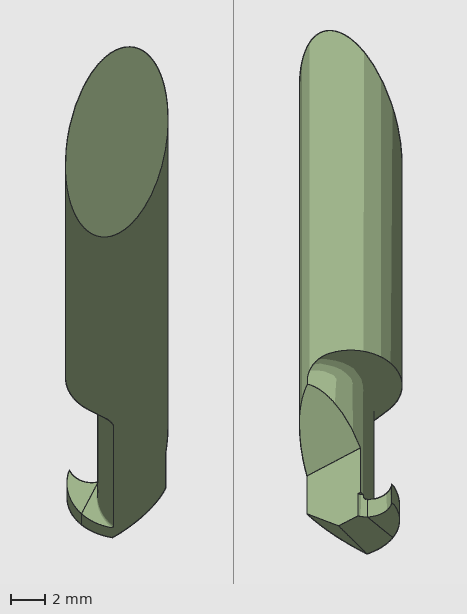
import cadquery as cq
import math


shank_radius = 3.0
total_length = 37.44
top_bevel_angle = 60.0
side_chamfer = 2.36

neck_offset = 2.05
shoulder_height = 11.2
shoulder_fillet = 1.0
toe_fillet = 0.17

back_y = 0.3
back_height = 5.4
back_slope_angle = 60.0

edge_width = 1.5
end_clearance_angle = 5.0
side_relief_angle = 0.8
land_width = 0.26
flank_mid_y = -2.6

groove_radius = 1.42
groove_centre_x = -1.99
groove_top = 1.8

neck_left_x = neck_offset - shank_radius
tip_joint_x = neck_left_x - toe_fillet
neck_edge_x = neck_offset / 2
neck_edge_y = -math.sqrt(shank_radius**2 - neck_edge_x**2)
land_end = (-math.sqrt(shank_radius**2 - land_width**2), -land_width)
bevel_slope = math.tan(math.radians(top_bevel_angle))
back_slope = math.tan(math.radians(back_slope_angle))
reach = 4 * shank_radius


def side_prism(points):
    """Prism along X from a (y, z) outline, wider than the bar."""
    return cq.Workplane("YZ").polyline(points).close().extrude(reach, both=True)


def block_above(corner_height, closing):
    """Block above a plane through the cutting corner; closing is +1 where the plane rises into the toe."""
    block = cq.Workplane("XY").box(2 * reach, 2 * reach, 2 * total_length, centered=(True, True, False))
    block = block.rotate((0, 0, 0), (1, 0, 0), -closing * end_clearance_angle)
    block = block.rotate((0, 0, 0), (0, 1, 0), -closing * side_relief_angle)
    return block.translate((-shank_radius, 0, corner_height))


def bar_blank():
    """Cylinder with a bevelled top, a relieved bottom face and a side chamfer."""
    low_side = total_length - 2 * shank_radius * bevel_slope
    bevelled_outline = [
        (-shank_radius, -shank_radius),
        (shank_radius, -shank_radius),
        (shank_radius, total_length),
        (-shank_radius, low_side),
    ]
    cylinder = cq.Workplane("XY").workplane(offset=-shank_radius)
    cylinder = cylinder.circle(shank_radius).extrude(total_length + shank_radius)
    cylinder = cylinder.rotate((0, 0, 0), (0, 0, 1), 180)
    chamfer_start = shank_radius - side_chamfer
    chamfer = (
        cq.Workplane("XZ")
        .polyline([
            (chamfer_start - shank_radius, -shank_radius),
            (chamfer_start + reach, -shank_radius),
            (chamfer_start + reach, reach),
        ])
        .close()
        .extrude(reach, both=True)
    )
    return cylinder.intersect(side_prism(bevelled_outline)).cut(chamfer).intersect(block_above(0, 1))


def neck_cutter():
    """Block around the neck cylinder, rounded where it meets the shoulder and the toe."""
    block = block_above(edge_width, -1).intersect(side_prism([
        (-reach, -reach),
        (reach, -reach),
        (reach, shoulder_height),
        (-reach, shoulder_height),
    ]))
    neck = cq.Workplane("XY").center(neck_offset, 0).circle(shank_radius).extrude(2 * reach)
    cutter = block.cut(neck)
    cutter = cutter.faces(">Z").edges("%CIRCLE").fillet(shoulder_fillet)
    return cutter.edges("%ELLIPSE").fillet(toe_fillet)


def flank_cutter():
    """Clearance behind the land, from its end to the edge of the neck."""
    return (
        cq.Workplane("XY")
        .workplane(offset=-shank_radius)
        .moveTo(*land_end)
        .threePointArc((tip_joint_x, flank_mid_y), (neck_edge_x, neck_edge_y))
        .lineTo(neck_edge_x, -reach)
        .lineTo(-reach, -reach)
        .lineTo(-reach, -land_width)
        .close()
        .extrude(shank_radius + edge_width)
    )


def back_cutter():
    """Flat back of the neck with a sloped run-out."""
    return side_prism([
        (back_y, -reach),
        (reach, -reach),
        (reach, back_height + (reach - back_y) * back_slope),
        (back_y, back_height),
    ])


def chip_groove():
    """Concave rake face along Z that runs from the cutting edge up to the back of the neck."""
    centre_y = math.sqrt(groove_radius**2 - (groove_centre_x + shank_radius) ** 2)
    exit_x = groove_centre_x + math.sqrt(groove_radius**2 - (back_y - centre_y) ** 2)
    return (
        cq.Workplane("XY")
        .workplane(offset=-shank_radius)
        .moveTo(-shank_radius, 0)
        .threePointArc((groove_centre_x, centre_y - groove_radius), (exit_x, back_y))
        .lineTo(exit_x, shank_radius)
        .lineTo(-reach, shank_radius)
        .lineTo(-reach, 0)
        .close()
        .extrude(shank_radius + groove_top)
    )


def tip_region():
    """Space beyond the flat joint where the tip meets the holder, up to the shoulder."""
    size = 2 * reach
    return cq.Workplane("XY").box(size, size, shoulder_height).translate((tip_joint_x - reach, 0, 0))


bar = bar_blank().cut(neck_cutter()).cut(flank_cutter()).cut(back_cutter()).cut(chip_groove())
holder = bar.cut(tip_region()).solids()
cutting_tip = bar.intersect(tip_region()).solids()

result = cq.Compound.makeCompound([holder.val(), cutting_tip.val()])